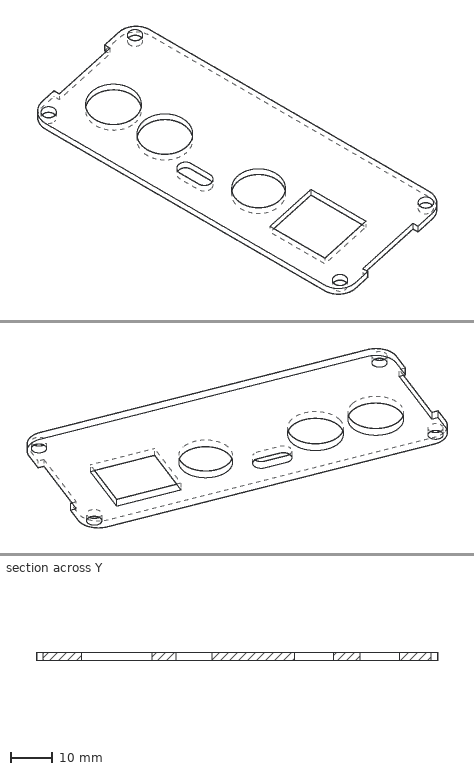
import cadquery as cq

length = 96.9
width = 40.2
thickness = 2.0
corner_radius = 5.3

notch_top = 9.3
left_notch_floor = -46.8
left_notch_bottom = -10.3
right_notch_floor = 46.9
right_notch_bottom = -10.1

screw_hole_diameter = 3.7
screw_hole_centers = [(-44.8, 16.5), (45.0, 16.7), (-45.0, -16.7), (45.0, -16.5)]

large_hole_diameter = 13.5
small_hole_diameter = 13.0
round_hole_y = -4.8
large_hole_xs = [-34.4, -18.5]
small_hole_x = 10.5

slot_length = 10.0
slot_width = 4.2
slot_center = (-4.6, -10.7)

window_length = 17.0
window_width = 15.8
window_center = (29.1, -5.1)


def round_cutter(diameter, centers):
    """Cylinders through the plate at the given centers."""
    return cq.Workplane("XY").pushPoints(centers).circle(diameter / 2).extrude(thickness)


def edge_notch_cutter(edge_x, floor_x, bottom_y):
    """Block that removes the notch between a short edge and its floor."""
    return (
        cq.Workplane("XY")
        .moveTo(edge_x, bottom_y)
        .lineTo(edge_x, notch_top)
        .lineTo(floor_x, notch_top)
        .lineTo(floor_x, bottom_y)
        .close()
        .extrude(thickness)
    )


plate = cq.Workplane("XY").rect(length, width).extrude(thickness).edges("|Z").fillet(corner_radius)

plate = plate.cut(edge_notch_cutter(-length / 2, left_notch_floor, left_notch_bottom))
plate = plate.cut(edge_notch_cutter(length / 2, right_notch_floor, right_notch_bottom))

large_hole_centers = [(x, round_hole_y) for x in large_hole_xs]
plate = plate.cut(round_cutter(screw_hole_diameter, screw_hole_centers))
plate = plate.cut(round_cutter(large_hole_diameter, large_hole_centers))
plate = plate.cut(round_cutter(small_hole_diameter, [(small_hole_x, round_hole_y)]))

slot = cq.Workplane("XY").center(*slot_center).slot2D(slot_length, slot_width).extrude(thickness)
window = cq.Workplane("XY").center(*window_center).rect(window_length, window_width).extrude(thickness)
result = plate.cut(slot).cut(window)